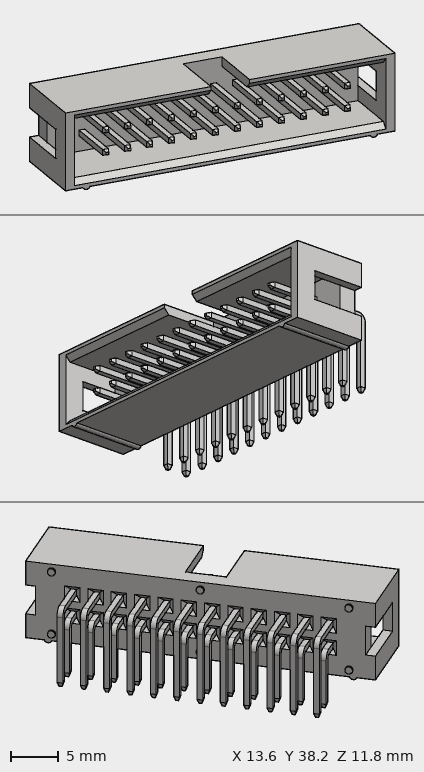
import cadquery as cq


TOTAL_X = 13.55
TOTAL_Z = 11.82

BODY_X = 8.9
BODY_Y = 38.15
BODY_Z = 8.85
WALL = 1.05
FLOOR = 2.05
FLARE_LENGTH = 0.6
FLARE_HEIGHT = 0.65

NOTCH_WIDTH = 4.45
SLOT_HEIGHT = 3.3
SLOT_END_X = 6.5

BOSS_DIAMETER = 0.85
BOSS_HEIGHT = 0.23
BOSS_FROM_END = 2.85
BOSS_FROM_EDGE = 0.85

RIDGE_WIDTH = 0.85
RIDGE_HEIGHT = 0.25
RIDGE_FROM_END = 2.45

COLUMNS = 12
COLUMN_SPAN = 27.95
PITCH = COLUMN_SPAN / (COLUMNS - 1)
PIN = 0.65
PIN_END_X = 8.4
TIP_LENGTH = 0.5
TIP_WIDTH = 0.3
BEND_RADIUS = 0.95

RECESS_WIDTH = 1.68
RECESS_DEPTH = 0.55

BODY_BOTTOM = -BODY_Z / 2
PIN_BOTTOM = BODY_Z / 2 - TOTAL_Z
UPPER_LEG_X = BODY_X - TOTAL_X + PIN / 2
COLUMN_Y = [(i - (COLUMNS - 1) / 2) * PITCH for i in range(COLUMNS)]
ROWS = [(PITCH / 2, UPPER_LEG_X), (-PITCH / 2, UPPER_LEG_X + PITCH)]


def block(x_start, x_end, width, height, y=0, z=0):
    """Box from x_start to x_end, centred on y and z."""
    size_x = x_end - x_start
    return cq.Workplane("XY").box(size_x, width, height).translate((x_start + size_x / 2, y, z))


def taper(wide, narrow, length):
    """Square frustum that starts at the origin and narrows along +Z."""
    return cq.Workplane("XY").rect(wide, wide).workplane(offset=length).rect(narrow, narrow).loft()


def cavity():
    """Mating cavity, open at the front, with the mouth flared along the two long walls."""
    inner_z = BODY_Z / 2 - WALL
    flare_start = BODY_X - FLARE_LENGTH
    flare_z = inner_z + FLARE_HEIGHT
    outline = [
        (FLOOR, -inner_z),
        (flare_start, -inner_z),
        (BODY_X, -flare_z),
        (BODY_X, flare_z),
        (flare_start, inner_z),
        (FLOOR, inner_z),
    ]
    return cq.Workplane("XZ").polyline(outline).close().extrude(BODY_Y / 2 - WALL, both=True)


def housing():
    body = block(0, BODY_X, BODY_Y, BODY_Z).cut(cavity())
    body = body.cut(block(FLOOR, BODY_X, NOTCH_WIDTH, WALL, z=(BODY_Z - WALL) / 2))
    for side in (-1, 1):
        body = body.cut(block(0, SLOT_END_X, WALL, SLOT_HEIGHT, y=side * (BODY_Y - WALL) / 2))
    return body


def recess(y, z):
    """Pyramid recess in the rear face that narrows to the pin section."""
    return taper(RECESS_WIDTH, PIN, RECESS_DEPTH).rotate((0, 0, 0), (0, 1, 0), 90).translate((0, y, z))


def bosses():
    y_end = BODY_Y / 2 - BOSS_FROM_END
    z_row = BODY_Z / 2 - BOSS_FROM_EDGE
    centres = [(y, z) for y in (-y_end, 0, y_end) for z in (-z_row, z_row)]
    return cq.Workplane("YZ").pushPoints(centres).circle(BOSS_DIAMETER / 2).extrude(-BOSS_HEIGHT)


def ridge(y):
    """Rounded ridge that runs along X under the bottom wall."""
    return (
        cq.Workplane("YZ")
        .moveTo(y - RIDGE_WIDTH / 2, BODY_BOTTOM)
        .threePointArc((y, BODY_BOTTOM - RIDGE_HEIGHT), (y + RIDGE_WIDTH / 2, BODY_BOTTOM))
        .close()
        .extrude(BODY_X)
    )


def pin(z, leg_x):
    """Square pin in the plane Y = 0, bent downward behind the housing, with tapered ends."""
    outer_x = leg_x - PIN / 2
    inner_x = leg_x + PIN / 2
    straight_end = PIN_END_X - TIP_LENGTH
    leg_end = PIN_BOTTOM + TIP_LENGTH
    shaft = (
        cq.Workplane("XZ")
        .moveTo(straight_end, z + PIN / 2)
        .lineTo(outer_x + BEND_RADIUS, z + PIN / 2)
        .radiusArc((outer_x, z + PIN / 2 - BEND_RADIUS), -BEND_RADIUS)
        .lineTo(outer_x, leg_end)
        .lineTo(inner_x, leg_end)
        .lineTo(inner_x, z + PIN / 2 - BEND_RADIUS)
        .radiusArc((outer_x + BEND_RADIUS, z - PIN / 2), BEND_RADIUS - PIN)
        .lineTo(straight_end, z - PIN / 2)
        .close()
        .extrude(PIN / 2, both=True)
    )
    tip = taper(PIN, TIP_WIDTH, TIP_LENGTH)
    front_tip = tip.rotate((0, 0, 0), (0, 1, 0), 90).translate((straight_end, 0, z))
    leg_tip = tip.rotate((0, 0, 0), (0, 1, 0), 180).translate((leg_x, 0, leg_end))
    return shaft.union(front_tip).union(leg_tip)


result = housing().union(bosses())
for ridge_side in (-1, 1):
    result = result.union(ridge(ridge_side * (BODY_Y / 2 - RIDGE_FROM_END)))
for row_z, row_leg_x in ROWS:
    row_pin = pin(row_z, row_leg_x)
    for column_y in COLUMN_Y:
        result = result.cut(recess(column_y, row_z))
        result = result.union(row_pin.translate((0, column_y, 0)))